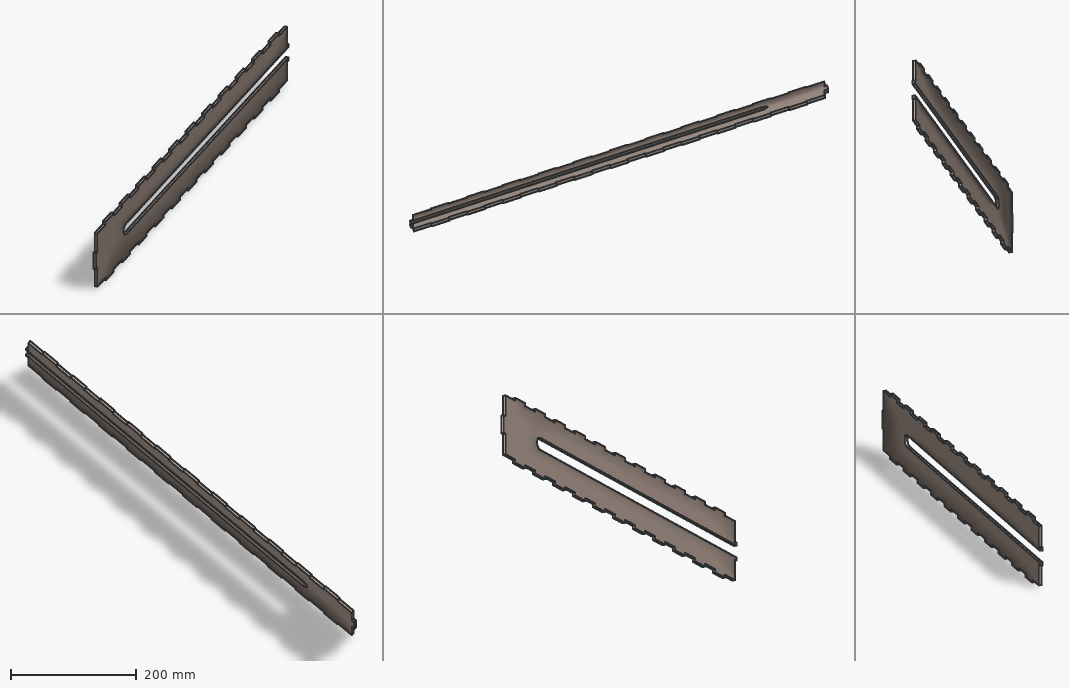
import cadquery as cq

overall_length = 700.0
overall_height = 110.0
thickness = 5.0
slot_width = 20.0
slot_length = 600.0
finger_count = 11

finger_depth = thickness
body_length = overall_length - 2 * finger_depth
body_height = overall_height - 2 * finger_depth

finger_width = body_length / (2 * finger_count + 1)
finger_pitch = 2 * finger_width


def plate(length, height):
    """Plate centred on the origin, with its thickness along X."""
    return cq.Workplane("YZ").rect(length, height).extrude(thickness / 2, both=True)


def long_edge_fingers():
    """Vertical strips crossing the body, each forming an upper and a lower finger."""
    return (
        cq.Workplane("YZ")
        .rarray(finger_pitch, 7, finger_count, 1)
        .rect(finger_width, overall_height)
        .extrude(thickness / 2, both=True)
    )


def end_fingers():
    """Strip along the centre line that forms one finger at each end."""
    return plate(overall_length, finger_width)


def open_slot():
    """Slot on the centre line, open at the +Y end and rounded at the other."""
    radius = slot_width / 2
    open_end = overall_length / 2
    tip = open_end - slot_length
    arc_start = tip + radius
    return (
        cq.Workplane("YZ")
        .moveTo(open_end, radius)
        .lineTo(arc_start, radius)
        .threePointArc((tip, 0), (arc_start, -radius))
        .lineTo(open_end, -radius)
        .close()
        .extrude(thickness / 2, both=True)
    )


body = plate(body_length, body_height)
result = body.union(long_edge_fingers()).union(end_fingers()).cut(open_slot())